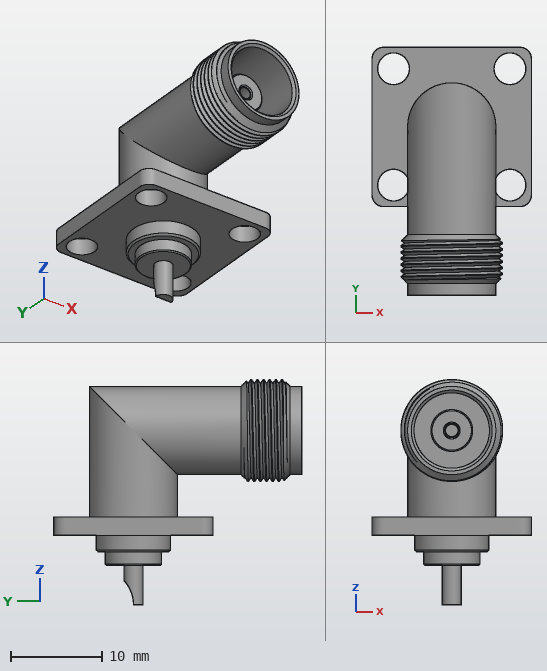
import cadquery as cq

flange_side = 17.45
flange_thickness = 2.03
flange_corner_radius = 1.28
mount_hole_diameter = 3.45
mount_hole_spacing = 12.72

barrel_diameter = 9.65
overall_length = 27.13
arm_height = 11.48
mouth_y = flange_side / 2 - overall_length

upper_spigot_diameter = 8.15
upper_spigot_length = 1.8
upper_spigot_chamfer = 0.22
lower_spigot_diameter = 6.19
lower_spigot_length = 1.47
lower_spigot_chamfer = 0.14
spigot_bottom_z = -upper_spigot_length - lower_spigot_length

thread_diameter = 11.15
collar_offset = 1.28
collar_length = 5.37
collar_chamfer = (thread_diameter - barrel_diameter) / 2
thread_pitch = 0.673
thread_depth = 0.43
thread_start = 0.05
thread_turns = 8
bar_margin = 1.35
groove_width = 0.57
cutter_overlap = 0.03

socket_diameter = 8.25
socket_mouth_diameter = 8.85
socket_chamfer = (socket_mouth_diameter - socket_diameter) / 2
socket_depth = collar_offset + collar_length
boss_diameter = 4.58
boss_chamfer = 0.14
boss_recess = 3.25

tail_diameter = 2.12
tail_length = 4.35
contact_diameter = 1.57
contact_bore_diameter = 1.35
contact_bore_depth = 2.17
contact_mouth_diameter = 1.85
contact_chamfer = (contact_mouth_diameter - contact_diameter) / 2
contact_front_offset = boss_recess + contact_chamfer
tail_bottom_z = spigot_bottom_z - tail_length
scoop_radius = 3.93


def vertical_cylinder(diameter, bottom_z, top_z):
    return cq.Workplane("XY", origin=(0, 0, bottom_z)).circle(diameter / 2).extrude(top_z - bottom_z)


def arm_cylinder(diameter, offset, length):
    """Cylinder on the arm axis, starting at an offset behind the mouth."""
    start = (0, mouth_y + offset, arm_height)
    return cq.Workplane("XZ", origin=start).circle(diameter / 2).extrude(-length)


def countersink(mouth_diameter, depth, offset):
    """45 degree cone on the arm axis, widest at an offset behind the mouth."""
    start = cq.Vector(0, mouth_y + offset, arm_height)
    cone = cq.Solid.makeCone(mouth_diameter / 2, mouth_diameter / 2 - depth, depth, start, cq.Vector(0, 1, 0))
    return cq.Workplane(obj=cone)


def make_flange():
    flange = cq.Workplane("XY").rect(flange_side, flange_side).extrude(flange_thickness)
    flange = flange.edges("|Z").fillet(flange_corner_radius)
    return (
        flange.faces(">Z").workplane()
        .rect(mount_hole_spacing, mount_hole_spacing, forConstruction=True)
        .vertices().hole(mount_hole_diameter)
    )


def make_spigot():
    upper = vertical_cylinder(upper_spigot_diameter, -upper_spigot_length, 0)
    upper = upper.faces("<Z").chamfer(upper_spigot_chamfer)
    lower = vertical_cylinder(lower_spigot_diameter, spigot_bottom_z, 0)
    lower = lower.faces("<Z").chamfer(lower_spigot_chamfer)
    return upper.union(lower)


def make_elbow():
    """Two equal barrels mitred on the 45 degree plane through the crossing of their axes."""
    radius = barrel_diameter / 2
    top_z = arm_height + radius
    mitre_plane = cq.Plane(origin=(0, 0, arm_height), xDir=(1, 0, 0), normal=(0, -1, 1))
    half_space_side = 2 * overall_length
    beyond_mitre = cq.Workplane(mitre_plane).rect(half_space_side, half_space_side).extrude(half_space_side)
    upright = vertical_cylinder(barrel_diameter, 0, top_z).cut(beyond_mitre)
    arm = arm_cylinder(barrel_diameter, 0, radius - mouth_y).intersect(beyond_mitre)
    return upright.union(arm)


def make_thread_cutter():
    """V-shaped ridge swept along a right-handed helix over the collar."""
    crest_radius = thread_diameter / 2
    base_radius = crest_radius + cutter_overlap
    base_width = groove_width * (thread_depth + cutter_overlap) / thread_depth
    helix = cq.Wire.makeHelix(thread_pitch, thread_turns * thread_pitch, crest_radius)
    cutter = (
        cq.Workplane("XZ")
        .moveTo(crest_radius - thread_depth, 0)
        .lineTo(base_radius, base_width / 2)
        .lineTo(base_radius, -base_width / 2)
        .close()
        .sweep(cq.Workplane(obj=helix), isFrenet=True)
    )
    start_y = mouth_y + collar_offset + thread_start
    return cutter.rotate((0, 0, 0), (1, 0, 0), -90).translate((0, start_y, arm_height))


def make_collar():
    """Threaded ring whose 45 degree ends run down to the barrel surface."""
    front = mouth_y + collar_offset
    back = front + collar_length
    barrel_radius = barrel_diameter / 2
    crest_radius = thread_diameter / 2
    envelope = (
        cq.Workplane("XY")
        .moveTo(socket_diameter / 2, front)
        .lineTo(barrel_radius, front)
        .lineTo(crest_radius, front + collar_chamfer)
        .lineTo(crest_radius, back - collar_chamfer)
        .lineTo(barrel_radius, back)
        .lineTo(socket_diameter / 2, back)
        .close()
        .revolve(360, (0, 0, 0), (0, 1, 0))
        .translate((0, 0, arm_height))
    )
    bar = arm_cylinder(thread_diameter, collar_offset - bar_margin, collar_length + 2 * bar_margin)
    return envelope.intersect(bar.cut(make_thread_cutter()))


def make_socket():
    """Annular space between the barrel wall and the centre boss."""
    bore = arm_cylinder(socket_diameter, 0, socket_depth)
    mouth = countersink(socket_mouth_diameter, socket_chamfer, 0)
    boss = arm_cylinder(boss_diameter, boss_recess, socket_depth - boss_recess)
    boss = boss.faces("<Y").chamfer(boss_chamfer)
    return bore.union(mouth).cut(boss)


def make_pin():
    tail = vertical_cylinder(tail_diameter, tail_bottom_z, arm_height + contact_diameter / 2)
    contact = arm_cylinder(contact_diameter, contact_front_offset, -mouth_y - contact_front_offset)
    bore = arm_cylinder(contact_bore_diameter, contact_front_offset, contact_bore_depth)
    scoop = (
        cq.Workplane("YZ").center(scoop_radius, tail_bottom_z)
        .circle(scoop_radius).extrude(tail_diameter, both=True)
    )
    return tail.union(contact).cut(bore).cut(scoop)


def make_pin_passage():
    """Space through the housing that matches the pin, open at both ends."""
    upright = vertical_cylinder(tail_diameter, spigot_bottom_z, arm_height + contact_diameter / 2)
    arm = arm_cylinder(contact_diameter, boss_recess, -mouth_y - boss_recess)
    mouth = countersink(contact_mouth_diameter, contact_chamfer, boss_recess)
    return upright.union(arm).union(mouth)


def make_housing():
    housing = make_flange().union(make_spigot()).union(make_elbow())
    housing = housing.union(make_collar())
    return housing.cut(make_socket()).cut(make_pin_passage())


housing = make_housing()
pin = make_pin()
result = cq.Compound.makeCompound([housing.val(), pin.val()])